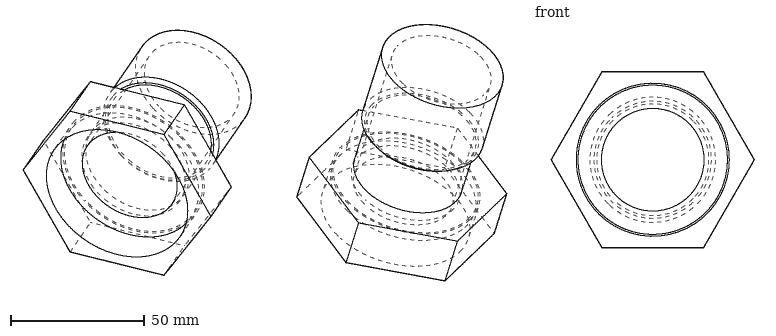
import cadquery as cq

ACROSS_CORNERS = 76.2
NUT_LENGTH = 20.05
NUT_BORE_DIAMETER = 57.4

TOTAL_LENGTH = 75.0
COLLAR_DIAMETER = 56.0
COLLAR_FACE_Y = 12.4
COLLAR_THICKNESS = (NUT_LENGTH - COLLAR_FACE_Y) / 2
NECK_DIAMETER = 42.0
BARREL_DIAMETER = 47.0
BARREL_START_Y = 41.8
BARREL_CHAMFER = 1.5
BORE_DIAMETER = 38.5
END_WALL = (NECK_DIAMETER - BORE_DIAMETER) / 2

NUT_FLOOR_Y = COLLAR_FACE_Y + COLLAR_THICKNESS


def cylinder(diameter, start_y, end_y):
    """Solid cylinder on the Y axis between two Y positions."""
    return (
        cq.Workplane("XZ", origin=(0, start_y, 0))
        .circle(diameter / 2)
        .extrude(start_y - end_y)
    )


def make_nut():
    """Hexagon nut with a wide front bore and a hole that fits the neck."""
    hexagon = cq.Workplane("XZ").polygon(6, ACROSS_CORNERS).extrude(-NUT_LENGTH)
    front_bore = cylinder(NUT_BORE_DIAMETER, 0, NUT_FLOOR_Y)
    neck_hole = cylinder(NECK_DIAMETER, NUT_FLOOR_Y, NUT_LENGTH)
    return hexagon.cut(front_bore).cut(neck_hole)


def make_tailpiece():
    """Collar, neck and chamfered barrel with a blind bore from the collar face."""
    collar = cylinder(COLLAR_DIAMETER, COLLAR_FACE_Y, NUT_FLOOR_Y)
    neck = cylinder(NECK_DIAMETER, NUT_FLOOR_Y, BARREL_START_Y)
    barrel = (
        cylinder(BARREL_DIAMETER, BARREL_START_Y, TOTAL_LENGTH)
        .faces("<Y")
        .chamfer(BARREL_CHAMFER)
    )
    bore = cylinder(BORE_DIAMETER, COLLAR_FACE_Y, TOTAL_LENGTH - END_WALL)
    return collar.union(neck).union(barrel).cut(bore)


nut = make_nut()
tailpiece = make_tailpiece()

result = cq.Compound.makeCompound([nut.solids().val(), tailpiece.solids().val()])